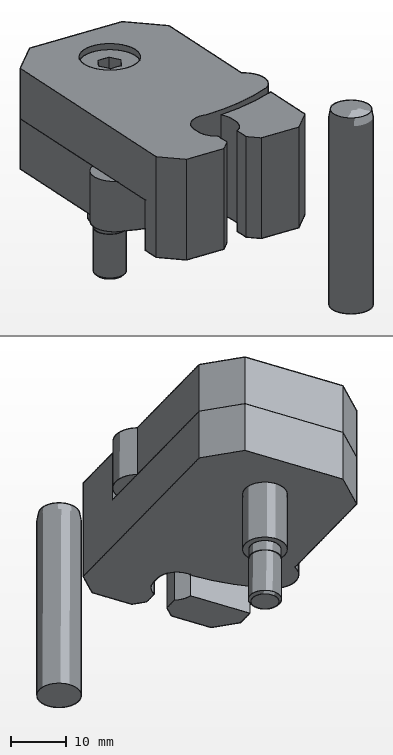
import cadquery as cq
import math


body_length = 53.9
body_width = 32.0
body_thickness = 20.0
pivot_setback = 11.0
rear_bevel = 6.0
front_bevel = 3.9
half_width = body_width / 2
half_thickness = body_thickness / 2
rear_x = -pivot_setback
front_x = rear_x + body_length

bump_radius = 4.5
bump_x = 22.4
bump_span = 36.55
bump_reach = bump_span / 2

grip_radius = 4.0
grip_x = 34.0
grip_flat = 1.3
mouth_half_width = 2.0
mouth_bevel = 1.95

plate_arc_radius = 40.55
lower_tip_arc_radius = 42.1
upper_tip_x = 35.5

head_radius = 5.5
head_height = 5.6
head_recess = 1.2
hex_across_flats = 4.1
hex_depth = 2.8
shoulder_radius = 4.0
shoulder_bottom = -21.8
thread_radius = 3.0
relief_radius = 2.9
relief_length = 2.0
thread_bevel = 0.5
screw_bottom = -32.9
head_top = half_thickness - head_recess
head_seat = head_top - head_height

dowel_radius = 4.0
overall_length = 93
overall_height = 64.3
dowel_x = overall_length - pivot_setback - dowel_radius
dowel_top = screw_bottom + overall_height
dowel_length = 39.9
taper_top_radius = 3.7
taper_height = 1.6
dome_height = 0.6


def jaw_blank():
    """Full-height bevelled block that both jaws are cut from."""
    block = cq.Workplane("XY").box(body_length, body_width, body_thickness)
    block = block.edges("|Z and <X").chamfer(rear_bevel)
    block = block.edges("|Z and >X").chamfer(front_bevel)
    return block.translate((rear_x + body_length / 2, 0, 0))


def cylinder(x, y, radius, bottom, top):
    return cq.Workplane("XY", origin=(x, y, bottom)).circle(radius).extrude(top - bottom)


def grip_cutter():
    """Oval hole with a bevelled mouth opening through the front face."""
    slot = cq.Workplane("XY", origin=(grip_x, 0, 0)).slot2D(grip_flat + 2 * grip_radius, 2 * grip_radius)
    mouth = (
        cq.Workplane("XY")
        .moveTo(grip_x, -mouth_half_width)
        .lineTo(front_x - mouth_bevel, -mouth_half_width)
        .lineTo(front_x, -mouth_half_width - mouth_bevel)
        .lineTo(front_x, mouth_half_width + mouth_bevel)
        .lineTo(front_x - mouth_bevel, mouth_half_width)
        .lineTo(grip_x, mouth_half_width)
        .close()
    )
    return slot.extrude(half_thickness, both=True).union(mouth.extrude(half_thickness, both=True))


def side_half(side):
    """Half space on the +Y (side = 1) or -Y (side = -1) side of the pivot axis."""
    return cq.Workplane("XY").box(2 * body_length, half_width, body_thickness).translate(
        (0, side * half_width / 2, 0)
    )


def make_jaw(level, tip_zone):
    """Jaw with its plate above (level = 1) or below (level = -1) the sliding plane.

    The tip is full height and lies at Y < 0 on the upper jaw and at Y > 0 on the lower one.
    """
    bottom, top = sorted((0, level * half_thickness))
    layer = cq.Workplane("XY").box(2 * body_length, body_width, half_thickness)
    plate = jaw_blank().intersect(layer.translate((0, 0, (bottom + top) / 2)))

    plate_disc = cylinder(rear_x, 0, plate_arc_radius, bottom, top)
    plate = plate.cut(side_half(level).cut(plate_disc))

    bump_y = level * (bump_reach - bump_radius)
    bump = cylinder(bump_x, bump_y, bump_radius, bottom, top).intersect(plate_disc)
    tip = jaw_blank().intersect(side_half(-level)).intersect(tip_zone)
    return plate.union(bump).union(tip).cut(grip_cutter())


def make_upper_jaw():
    tip_length = front_x - upper_tip_x
    tip_zone = cq.Workplane("XY").box(tip_length, body_width, body_thickness)
    jaw = make_jaw(1, tip_zone.translate((upper_tip_x + tip_length / 2, 0, 0)))
    counterbore = cylinder(0, 0, head_radius, head_seat, half_thickness)
    return jaw.cut(counterbore).cut(cylinder(0, 0, shoulder_radius, 0, head_seat))


def make_lower_jaw():
    inner_disc = cylinder(rear_x, 0, lower_tip_arc_radius, -half_thickness, half_thickness)
    jaw = make_jaw(-1, jaw_blank().cut(inner_disc))
    return jaw.cut(cylinder(0, 0, shoulder_radius, -half_thickness, 0))


def make_screw():
    relief_bottom = shoulder_bottom - relief_length
    head = cylinder(0, 0, head_radius, head_seat, head_top)
    shoulder = cylinder(0, 0, shoulder_radius, shoulder_bottom, head_seat)
    relief = cylinder(0, 0, relief_radius, relief_bottom, shoulder_bottom)
    thread = cylinder(0, 0, thread_radius, screw_bottom, relief_bottom).faces("<Z").chamfer(thread_bevel)
    hex_socket = (
        cq.Workplane("XY", origin=(0, 0, head_top))
        .transformed(rotate=(0, 0, 90))
        .polygon(6, hex_across_flats / math.cos(math.pi / 6))
        .extrude(-hex_depth)
    )
    return head.union(shoulder).union(relief).union(thread).cut(hex_socket)


def dome_midpoint(rim_radius):
    """Radius and rise above the rim of a point halfway along a dome's arc."""
    sphere_radius = (rim_radius**2 + dome_height**2) / (2 * dome_height)
    half_angle = math.asin(rim_radius / sphere_radius) / 2
    rise = dome_height - sphere_radius * (1 - math.cos(half_angle))
    return sphere_radius * math.sin(half_angle), rise


def make_dowel():
    """Pin with a tapered, domed top and a domed bottom, revolved about its axis."""
    dowel_bottom = dowel_top - dowel_length
    lower_rim = dowel_bottom + dome_height
    upper_rim = dowel_top - dome_height
    lower_mid_radius, lower_mid_rise = dome_midpoint(dowel_radius)
    upper_mid_radius, upper_mid_rise = dome_midpoint(taper_top_radius)
    profile = (
        cq.Workplane("XZ")
        .moveTo(0, dowel_bottom)
        .threePointArc((lower_mid_radius, lower_rim - lower_mid_rise), (dowel_radius, lower_rim))
        .lineTo(dowel_radius, upper_rim - taper_height)
        .lineTo(taper_top_radius, upper_rim)
        .threePointArc((upper_mid_radius, upper_rim + upper_mid_rise), (0, dowel_top))
        .close()
    )
    return profile.revolve(360, (0, 0, 0), (0, 1, 0)).translate((dowel_x, 0, 0))


upper_jaw = make_upper_jaw()
lower_jaw = make_lower_jaw()
screw = make_screw()
dowel = make_dowel()

result = cq.Compound.makeCompound(
    [upper_jaw.solids().val(), lower_jaw.solids().val(), screw.solids().val(), dowel.val()]
)